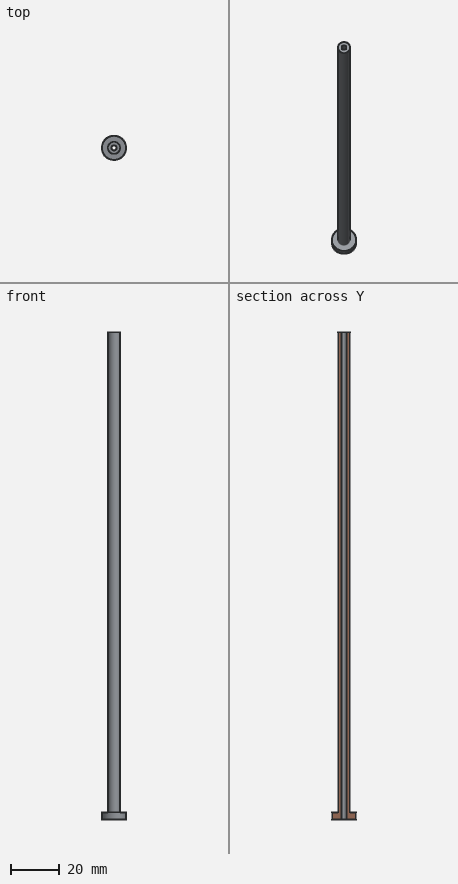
import cadquery as cq

total_length = 200.0
head_diameter = 10.0
head_height = 3.0
shaft_diameter = 5.0
bore_diameter = 2.0
neck_fillet = 0.3

shaft_radius = shaft_diameter / 2
head_radius = head_diameter / 2
bore_radius = bore_diameter / 2

half_section = (
    cq.Workplane("XZ")
    .moveTo(bore_radius, 0)
    .lineTo(head_radius, 0)
    .lineTo(head_radius, head_height)
    .lineTo(shaft_radius + neck_fillet, head_height)
    .radiusArc((shaft_radius, head_height + neck_fillet), neck_fillet)
    .lineTo(shaft_radius, total_length)
    .lineTo(bore_radius, total_length)
    .close()
)

result = half_section.revolve(360, (0, 0, 0), (0, 1, 0))